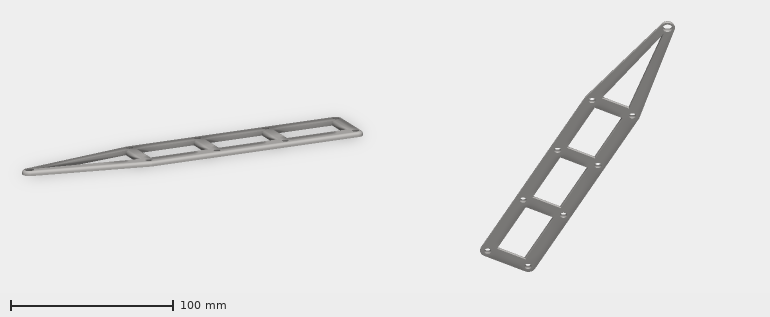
import cadquery as cq
import math

LENGTH = 225.0
WIDTH = 37.4
THICKNESS = 3.0
CORNER_RADIUS = 4.5
TIP_RADIUS = 4.5

EDGE_RADIUS = 2.0

BAR_WIDTH = 9.0
BAR_SPACING = 46.5
SHOULDER_Y = 79.5
END_BAR_Y = LENGTH - CORNER_RADIUS
BAR_CENTRES = [SHOULDER_Y + i * BAR_SPACING for i in range(3)] + [END_BAR_Y]
HOLE_DIAMETER = 4.3
HOLE_SPACING = 28.0
TIP_HOLE_DIAMETER = 6.0

WINDOW_WIDTH = 19.5
TRIANGLE_APEX_Y = 9.2

HALF_WIDTH = WIDTH / 2
BAR_FLAT_HALF = BAR_WIDTH / 2 - EDGE_RADIUS


def make_plate():
    """Rectangular plate tapering along tangents to a round tip, with a rounded top edge."""
    rise = SHOULDER_Y - TIP_RADIUS
    shoulder_distance = math.hypot(HALF_WIDTH, rise)
    tangent_angle = math.atan2(rise, HALF_WIDTH) - math.acos(TIP_RADIUS / shoulder_distance)
    tangent_x = TIP_RADIUS * math.cos(tangent_angle)
    tangent_y = TIP_RADIUS + TIP_RADIUS * math.sin(tangent_angle)
    plate = (
        cq.Workplane("XY")
        .moveTo(tangent_x, tangent_y)
        .lineTo(HALF_WIDTH, SHOULDER_Y)
        .lineTo(HALF_WIDTH, LENGTH)
        .lineTo(-HALF_WIDTH, LENGTH)
        .lineTo(-HALF_WIDTH, SHOULDER_Y)
        .lineTo(-tangent_x, tangent_y)
        .threePointArc((0, 0), (tangent_x, tangent_y))
        .close()
        .extrude(THICKNESS)
    )
    plate = plate.edges("|Z and >Y").fillet(CORNER_RADIUS)
    return plate.faces(">Z").edges().fillet(EDGE_RADIUS)


def make_bar(centre_y):
    """Crossbar with both upper long edges rounded, spanning the window width."""
    bar = (
        cq.Workplane("XY")
        .center(0, centre_y)
        .rect(WINDOW_WIDTH, BAR_WIDTH)
        .extrude(THICKNESS)
    )
    return bar.edges("|X and >Z").fillet(EDGE_RADIUS)


def make_openings():
    """Three rectangular windows and the long triangle, with the crossbars left standing."""
    window_length = END_BAR_Y - SHOULDER_Y
    openings = (
        cq.Workplane("XY")
        .center(0, SHOULDER_Y + window_length / 2)
        .rect(WINDOW_WIDTH, window_length)
        .extrude(THICKNESS)
    )
    triangle_base_y = SHOULDER_Y - BAR_FLAT_HALF
    triangle = (
        cq.Workplane("XY")
        .moveTo(-WINDOW_WIDTH / 2, triangle_base_y)
        .lineTo(WINDOW_WIDTH / 2, triangle_base_y)
        .lineTo(0, TRIANGLE_APEX_Y)
        .close()
        .extrude(THICKNESS)
    )
    openings = openings.union(triangle)
    for centre_y in BAR_CENTRES:
        openings = openings.cut(make_bar(centre_y))
    return openings


def make_holes():
    """Through holes: one pair per crossbar and a larger one in the tip."""
    half_spacing = HOLE_SPACING / 2
    points = [(side * half_spacing, y) for y in BAR_CENTRES for side in (-1, 1)]
    bar_holes = cq.Workplane("XY").pushPoints(points).circle(HOLE_DIAMETER / 2).extrude(THICKNESS)
    tip_hole = cq.Workplane("XY").center(0, TIP_RADIUS).circle(TIP_HOLE_DIAMETER / 2).extrude(THICKNESS)
    return bar_holes.union(tip_hole)


result = make_plate().cut(make_openings()).cut(make_holes())